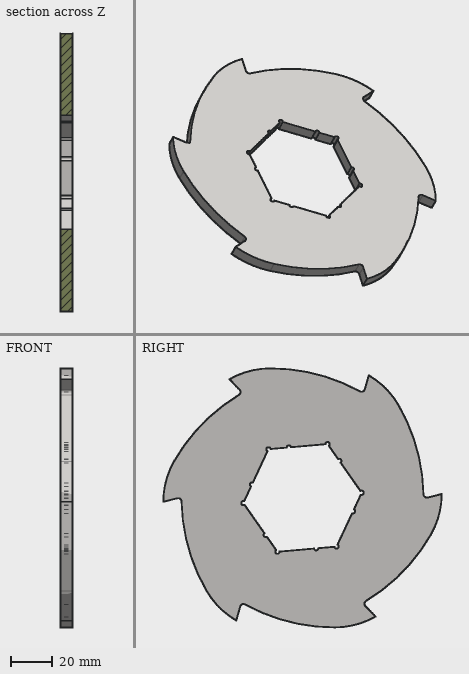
import cadquery as cq
import math

thickness = 6.0
tooth_count = 6
pitch_angle = 360.0 / tooth_count

tip_radius = 67.985
tip_angle = -1.65
nose_end_radius = 65.18
nose_end_angle = 15.9
nose_arc_radius = 40.0
back_arc_radius = 90.0
face_angle = 46.0
gullet_fillet = 1.6
gullet_zone_radius = 62.0

bore_apothem = 25.05
bore_corner_angle = 55.0
relief_radius = 1.0
side_relief_angle = 14.8
side_normal_angle = bore_corner_angle - pitch_angle / 2
bore_corner_radius = bore_apothem / math.cos(math.radians(pitch_angle / 2))
side_relief_offset = math.radians(side_normal_angle - side_relief_angle)
side_relief_distance = bore_apothem / math.cos(side_relief_offset)


def polar(radius, angle):
    """Point in a plane seen along the axis, at an angle in degrees."""
    turn = math.radians(angle)
    return radius * math.cos(turn), radius * math.sin(turn)


def rotate(point, angle):
    """Turn a point about the axis by an angle in degrees."""
    c, s = polar(1.0, angle)
    return point[0] * c - point[1] * s, point[0] * s + point[1] * c


def on_plane(point):
    """Convert to YZ workplane coordinates, whose first axis is +Y."""
    return -point[0], point[1]


def arc_centre(start, end, radius):
    """Centre of the minor counter-clockwise arc from start to end."""
    chord_x = end[0] - start[0]
    chord_y = end[1] - start[1]
    chord = math.hypot(chord_x, chord_y)
    rise = math.sqrt(radius**2 - chord**2 / 4) / chord
    mid_x = (start[0] + end[0]) / 2
    mid_y = (start[1] + end[1]) / 2
    return mid_x - chord_y * rise, mid_y + chord_x * rise


def arc_middle(start, end, centre, radius):
    """Point halfway along the minor arc from start to end."""
    away_x = (start[0] + end[0]) / 2 - centre[0]
    away_y = (start[1] + end[1]) / 2 - centre[1]
    scale = radius / math.hypot(away_x, away_y)
    return centre[0] + away_x * scale, centre[1] + away_y * scale


def line_meets_circle(point, angle, centre, radius):
    """First crossing found going backwards from a point along a direction."""
    dir_x, dir_y = polar(1.0, angle)
    from_x = point[0] - centre[0]
    from_y = point[1] - centre[1]
    along = from_x * dir_x + from_y * dir_y
    gap = from_x**2 + from_y**2 - radius**2
    travel = -along + math.sqrt(along**2 - gap)
    return point[0] + dir_x * travel, point[1] + dir_y * travel


def toothed_disc():
    tip = polar(tip_radius, tip_angle)
    next_tip = rotate(tip, pitch_angle)
    nose_end = polar(nose_end_radius, nose_end_angle)

    nose_centre = arc_centre(tip, nose_end, nose_arc_radius)
    nose_middle = arc_middle(tip, nose_end, nose_centre, nose_arc_radius)

    stretch = back_arc_radius / nose_arc_radius
    back_centre = (
        nose_end[0] + (nose_centre[0] - nose_end[0]) * stretch,
        nose_end[1] + (nose_centre[1] - nose_end[1]) * stretch,
    )
    gullet = line_meets_circle(next_tip, face_angle, back_centre, back_arc_radius)
    back_middle = arc_middle(nose_end, gullet, back_centre, back_arc_radius)

    outline = cq.Workplane("YZ").moveTo(*on_plane(tip))
    for index in range(tooth_count):
        turn = index * pitch_angle
        stops = [nose_middle, nose_end, back_middle, gullet, next_tip]
        placed = [on_plane(rotate(stop, turn)) for stop in stops]
        outline = outline.threePointArc(placed[0], placed[1])
        outline = outline.threePointArc(placed[2], placed[3])
        outline = outline.lineTo(*placed[4])
    return outline.close().extrude(thickness)


def round_gullets(disc):
    def is_gullet(edge):
        middle = edge.Center()
        return math.hypot(middle.y, middle.z) < gullet_zone_radius

    return disc.edges("|X").filter(is_gullet).fillet(gullet_fillet)


def ring_of_points(radius, start_angle):
    return [
        on_plane(polar(radius, start_angle + index * pitch_angle))
        for index in range(tooth_count)
    ]


def bore():
    corners = ring_of_points(bore_corner_radius, bore_corner_angle)
    side_points = ring_of_points(side_relief_distance, side_relief_angle)
    hexagon = cq.Workplane("YZ").polyline(corners).close().extrude(thickness)
    reliefs = cq.Workplane("YZ").pushPoints(corners + side_points).circle(relief_radius).extrude(thickness)
    return hexagon.union(reliefs)


result = round_gullets(toothed_disc()).cut(bore())